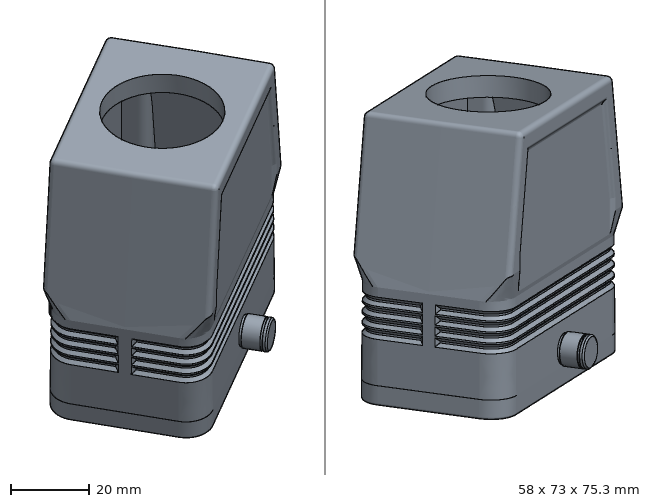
import cadquery as cq
import math

height = 75.25
pin_span = 58.0

skirt_x, skirt_y = 43.05, 73.0
skirt_height = 5.35
skirt_edge_radius = 0.6
corner_radius = 7.15

body_x, body_y = 43.05, 72.9
shoulder_z = 31.5
body_inset = 0.26

hood_x = 44.85
hood_start_z = 38.8
hood_top_half_y = 28.3
hood_end_slope = 0.18
ridge_rise = 0.2
hood_edge_radius = 1.5
shoulder_top_y = 69.0
hood_clearance = 0.04

groove_count = 4
groove_bottom_z = 17.45
groove_pitch = 2.9
groove_depth = 1.0
groove_wall_angle = 45
groove_floor = 0.5
bar_width = 3.15

panel_depth = 1.0
panel_crest_radius = 0.9
panel_foot_radius = 1.1
panel_top_z = 70.6
panel_knee_z = 42.15
panel_knee_half_y = 29.5
panel_wall_angle = 45

pin_radius = 4.5
pin_z = 9.8
pin_tip_chamfer = 0.45
pin_ring_offset = 1.3
pin_ring_width = 0.6
pin_neck_length = 0.6
pin_embed = 2.25
pin_undercut = 0.3

cable_hole_diameter = 32.05
top_wall = 5.8
cavity_x, cavity_y = 36.1, 52.7
end_bay_x = 21.4
end_bay_y = 64.7
end_wall = 2.7
post_radius = 3.0


def rounded_block(size_x, size_y, z, rise, radius, taper=0):
    """Block with rounded corners, standing on the plane at z."""
    outline = cq.Sketch().rect(size_x, size_y).vertices().fillet(radius)
    return cq.Workplane("XY", origin=(0, 0, z)).placeSketch(outline).extrude(rise, taper=taper)


def hood_half_y(z):
    """Half length of the hood at height z, on the middle ridge."""
    return hood_top_half_y + hood_end_slope * (height - z)


def body_lean(z):
    """How far the body sides have leaned in at height z."""
    return body_inset * (z - skirt_height) / (shoulder_z - skirt_height)


def make_skirt():
    skirt = rounded_block(skirt_x, skirt_y, 0, skirt_height, corner_radius)
    return skirt.faces("<Z").edges().fillet(skirt_edge_radius)


def make_body():
    body_height = shoulder_z - skirt_height
    draft = math.degrees(math.atan(body_inset / body_height))
    return rounded_block(body_x, body_y, skirt_height, body_height, corner_radius, draft)


def make_flare(top_y):
    """Shoulder block flaring out in X, with its top cut to the given Y size."""
    lower = cq.Sketch().rect(body_x - 2 * body_inset, body_y - 2 * body_inset)
    lower = lower.vertices().fillet(corner_radius - body_inset)
    upper = cq.Sketch().rect(hood_x, top_y).vertices().fillet(hood_edge_radius)
    rise = hood_start_z - shoulder_z
    upper = upper.moved(cq.Location(cq.Vector(0, 0, rise)))
    return cq.Workplane("XY", origin=(0, 0, shoulder_z)).placeSketch(lower, upper).loft()


def hood_outline(z):
    half_x = hood_x / 2
    ridge_y = hood_half_y(z)
    side_y = ridge_y - ridge_rise
    return [
        (-half_x, -side_y), (0, -ridge_y), (half_x, -side_y),
        (half_x, side_y), (0, ridge_y), (-half_x, side_y),
    ]


def make_hood():
    """Tapered hood whose ends run down to the shoulder, trimmed by its flare."""
    hood = (
        cq.Workplane("XY", origin=(0, 0, shoulder_z)).polyline(hood_outline(shoulder_z)).close()
        .workplane(offset=height - shoulder_z).polyline(hood_outline(height)).close()
        .loft(ruled=True)
    )
    hood = hood.edges("(>Z or >X or <X) and (not <Z)").fillet(hood_edge_radius)
    above = cq.Workplane("XY", origin=(0, 0, hood_start_z)).rect(2 * hood_x, 2 * skirt_y)
    above = above.extrude(height - hood_start_z)
    flare = make_flare(2 * hood_half_y(hood_start_z) + hood_clearance)
    return hood.intersect(above).union(hood.intersect(flare))


def make_shell():
    return make_skirt().union(make_body()).union(make_flare(shoulder_top_y)).union(make_hood())


def make_groove(bottom_z):
    """Ring of trapezoidal section around the body, without the end bars."""
    opening = 2 * groove_depth + groove_floor
    lean = body_lean(bottom_z + opening / 2)
    size_x = body_x - 2 * lean
    size_y = body_y - 2 * lean
    radius = corner_radius - lean
    lower = rounded_block(size_x, size_y, bottom_z, groove_depth, radius, groove_wall_angle)
    upper = rounded_block(size_x, size_y, bottom_z + opening, -groove_depth, radius, groove_wall_angle)
    waist = rounded_block(
        size_x - 2 * groove_depth, size_y - 2 * groove_depth,
        bottom_z, opening, radius - groove_depth,
    )
    ring = cq.Workplane("XY", origin=(0, 0, bottom_z)).rect(2 * body_x, 2 * body_y).extrude(opening)
    return ring.cut(waist).cut(lower).cut(upper)


def make_end_bars():
    """Bars with 45 degree flanks that stay standing across the grooves."""
    half_width = bar_width / 2
    half_y = body_y / 2
    flare = half_width + half_y
    outline = [(half_width, half_y), (-half_width, half_y), (-flare, 0), (flare, 0)]
    z_range = groove_count * groove_pitch
    bar = (
        cq.Workplane("XY", origin=(0, 0, groove_bottom_z))
        .polyline(outline).close().extrude(z_range)
    )
    keep = cq.Workplane("XY", origin=(0, half_y, groove_bottom_z))
    keep = keep.rect(bar_width + 4 * groove_depth, 4 * groove_depth)
    bar = bar.intersect(keep.extrude(z_range))
    return bar.union(bar.mirror("XZ"))


def cut_grooves(part):
    bars = make_end_bars()
    for index in range(groove_count):
        land = groove_pitch - 2 * groove_depth - groove_floor
        bottom_z = groove_bottom_z + land / 2 + index * groove_pitch
        part = part.cut(make_groove(bottom_z).cut(bars))
    return part


def panel_outline(inset):
    """Panel outline in Y and Z, drawn in by the given amount."""
    knee_y = panel_knee_half_y - inset
    top_z = panel_top_z - inset
    top_y = knee_y - hood_end_slope * (top_z - panel_knee_z)
    return [
        (-knee_y, shoulder_z), (-knee_y, panel_knee_z), (-top_y, top_z),
        (top_y, top_z), (knee_y, panel_knee_z), (knee_y, shoulder_z),
    ]


def cut_panels(part):
    wall_top = panel_crest_radius * math.tan(math.radians(panel_wall_angle / 2))
    wall_foot = wall_top + panel_depth / math.tan(math.radians(panel_wall_angle))
    side_x = hood_x / 2
    floor_x = side_x - panel_depth
    plug = (
        cq.Workplane("YZ", origin=(floor_x, 0, 0)).polyline(panel_outline(wall_foot)).close()
        .workplane(offset=panel_depth).polyline(panel_outline(wall_top)).close()
        .loft(ruled=True)
    )
    plug = plug.faces("<X").edges("not <Z").fillet(panel_foot_radius)
    plate = cq.Workplane("YZ", origin=(side_x, 0, 0)).polyline(panel_outline(-panel_depth)).close()
    cutter = plug.union(plate.extrude(panel_depth))
    slab = panel_depth / 10
    crest = cq.selectors.BoxSelector(
        (side_x - slab, -panel_knee_half_y, shoulder_z + slab),
        (side_x + slab, panel_knee_half_y, panel_top_z),
    )
    cutter = cutter.edges(crest).fillet(panel_crest_radius)
    return part.cut(cutter).cut(cutter.mirror("YZ"))


def make_pin():
    tip_x = pin_span / 2
    neck_radius = pin_radius - pin_undercut
    neck_end_x = body_x / 2 + pin_neck_length
    ring_outer_x = tip_x - pin_ring_offset
    ring_inner_x = ring_outer_x - pin_ring_width
    root_x = body_x / 2 - pin_embed
    profile = [
        (root_x, 0), (root_x, neck_radius),
        (neck_end_x, neck_radius), (neck_end_x, pin_radius),
        (ring_inner_x, pin_radius), (ring_inner_x, neck_radius),
        (ring_outer_x, neck_radius), (ring_outer_x, pin_radius),
        (tip_x - pin_tip_chamfer, pin_radius), (tip_x, pin_radius - pin_tip_chamfer),
        (tip_x, 0),
    ]
    pin = cq.Workplane("XY").polyline(profile).close().revolve(360, (0, 0, 0), (1, 0, 0))
    return pin.translate((0, 0, pin_z))


def make_cavity():
    ceiling_z = height - top_wall
    cavity = cq.Workplane("XY").rect(cavity_x, cavity_y).extrude(ceiling_z)
    bay_half_y = end_bay_y / 2
    ceiling_half_y = hood_half_y(ceiling_z) - end_wall
    bend_z = ceiling_z - (bay_half_y - ceiling_half_y) / hood_end_slope
    bay_profile = [
        (-bay_half_y, 0), (-bay_half_y, bend_z), (-ceiling_half_y, ceiling_z),
        (ceiling_half_y, ceiling_z), (bay_half_y, bend_z), (bay_half_y, 0),
    ]
    half_width = end_bay_x / 2 + post_radius
    bays = cq.Workplane("YZ").polyline(bay_profile).close().extrude(half_width, both=True)
    post_size = 2 * (bay_half_y - cavity_y / 2)
    post_x = (end_bay_x + post_size) / 2
    post_y = (cavity_y + post_size) / 2
    for x in (-post_x, post_x):
        for y in (-post_y, post_y):
            post = rounded_block(post_size, post_size, 0, ceiling_z, post_radius)
            bays = bays.cut(post.translate((x, y, 0)))
    return cavity.union(bays)


def make_cable_hole():
    hole = cq.Workplane("XY", origin=(0, 0, height - top_wall))
    return hole.circle(cable_hole_diameter / 2).extrude(top_wall)


result = cut_panels(cut_grooves(make_shell()))
result = result.union(make_pin()).union(make_pin().mirror("YZ"))
result = result.cut(make_cavity()).cut(make_cable_hole())